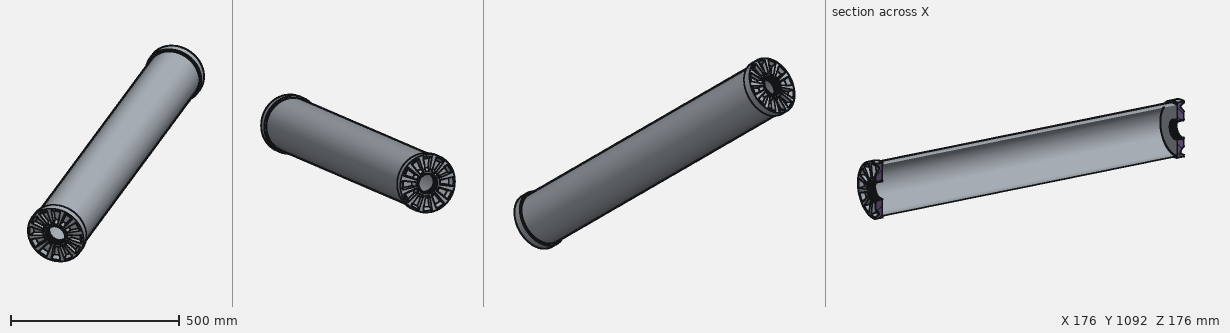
import cadquery as cq
import math

overall_length = 1092.0
cap_diameter = 176.0
cap_length = 25.0
tube_outer_diameter = 165.0
tube_inner_diameter = 161.0
tube_length = overall_length - 2 * cap_length

pocket_count = 12
pocket_outer_diameter = 164.0
pocket_inner_diameter = 74.0
pocket_depth = 13.0
mouth_half_angle = 10.0
floor_half_angle = 7.5
floor_inset = 9.0

bore_diameter = 57.0
thread_major_diameter = 62.0
thread_groove_count = 11
thread_pitch = cap_length / thread_groove_count


def make_tube():
    """Thin-walled tube along Y, centred on the origin."""
    start = -tube_length / 2
    return (
        cq.Workplane("XZ")
        .circle(tube_outer_diameter / 2)
        .circle(tube_inner_diameter / 2)
        .extrude(-tube_length)
        .translate((0, start, 0))
    )


def sector_wire(y, inner_radius, outer_radius, half_angle):
    """Closed ring-sector outline in the plane at height y, centred on the +Z direction."""

    def point(radius, angle):
        turn = math.radians(angle)
        return cq.Vector(radius * math.sin(turn), y, radius * math.cos(turn))

    inner_left = point(inner_radius, -half_angle)
    inner_right = point(inner_radius, half_angle)
    outer_left = point(outer_radius, -half_angle)
    outer_right = point(outer_radius, half_angle)
    return cq.Wire.assembleEdges([
        cq.Edge.makeThreePointArc(inner_left, point(inner_radius, 0), inner_right),
        cq.Edge.makeLine(inner_right, outer_right),
        cq.Edge.makeThreePointArc(outer_right, point(outer_radius, 0), outer_left),
        cq.Edge.makeLine(outer_left, inner_left),
    ])


def make_pocket():
    """Tapered pocket that narrows from the cap face at Y = 0 to its floor."""
    mouth_inner_radius = pocket_inner_diameter / 2
    mouth_outer_radius = pocket_outer_diameter / 2
    floor_inner_radius = mouth_inner_radius + floor_inset
    floor_outer_radius = mouth_outer_radius - floor_inset
    mouth = sector_wire(0, mouth_inner_radius, mouth_outer_radius, mouth_half_angle)
    floor = sector_wire(pocket_depth, floor_inner_radius, floor_outer_radius, floor_half_angle)
    return cq.Workplane(cq.Solid.makeLoft([mouth, floor], True))


def make_threaded_bore():
    """Body of the bore along +Y from Y = 0, with a groove opening at each end."""
    minor_radius = bore_diameter / 2
    major_radius = thread_major_diameter / 2
    profile = cq.Workplane("XY").lineTo(major_radius, 0)
    for index in range(thread_groove_count):
        turn_start = index * thread_pitch
        profile = profile.lineTo(minor_radius, turn_start + thread_pitch / 2)
        profile = profile.lineTo(major_radius, turn_start + thread_pitch)
    return profile.lineTo(0, cap_length).close().revolve(360, (0, 0, 0), (0, 1, 0))


def make_cap():
    """End cap along +Y with its spoked outer face at Y = 0."""
    cap = cq.Workplane("XZ").circle(cap_diameter / 2).extrude(-cap_length)
    cap = cap.cut(make_threaded_bore())
    pocket = make_pocket()
    for index in range(pocket_count):
        turn = index * 360 / pocket_count
        cap = cap.cut(pocket.rotate((0, 0, 0), (0, 1, 0), turn))
    return cap


tube = make_tube()

caps = []
for facing in (0, 180):
    cap = make_cap().translate((0, -overall_length / 2, 0))
    caps.append(cap.rotate((0, 0, 0), (0, 0, 1), facing))

result = cq.Compound.makeCompound([tube.val(), *[cap.val() for cap in caps]])